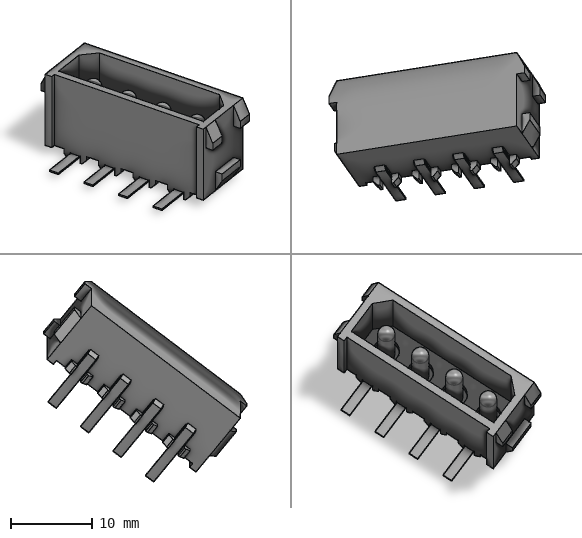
import cadquery as cq

WIDTH = 23.3
HEIGHT = 10.25
DEPTH = 8.2
END_WALL = 1.0
SIDE_WALL = 0.94
FLOOR = 2.0
KEY_CHAMFER = 1.8

RAIL_DEPTH = 0.6
RAIL_WIDTH = 1.0

LATCH_REACH = 1.0
LATCH_LIP = 1.0
UPPER_LATCH_HEIGHT = 3.0
LOWER_LATCH_HEIGHT = 2.75
UPPER_LATCH_LENGTH = 2.08
LOWER_LATCH_LENGTH = DEPTH - 2 * UPPER_LATCH_LENGTH

CONTACT_COUNT = 4
PITCH = 5.08
CONTACT_Y = DEPTH / 2
PIN_DIAMETER = 2.1
PIN_TOP = 8.45
BORE_DIAMETER = 3.2
BORE_DEPTH = 1.0
PIN_BASE = FLOOR - BORE_DEPTH

TAIL_WIDTH = 1.3
TAIL_THICKNESS = 0.23
TAIL_TOP = -0.29
TAIL_TIP_Y = -4.7
TAIL_BOTTOM = TAIL_TOP - TAIL_THICKNESS
OUTER_BEND_Y = 3.73
INNER_BEND_Y = OUTER_BEND_Y - TAIL_THICKNESS

PRONG_DROP = 1.27
PRONG_SHOULDER = 0.6
PRONG_TIP_WIDTH = 0.27
PRONG_LENGTH = 1.25
PRONG_GAP = 1.52
PRONG_SPAN = 3.32

contact_positions = [(i - (CONTACT_COUNT - 1) / 2) * PITCH for i in range(CONTACT_COUNT)]


def box(x_min, x_max, y_min, y_max, z_min, z_max):
    size = (x_max - x_min, y_max - y_min, z_max - z_min)
    return cq.Workplane("XY").box(*size, centered=False).translate((x_min, y_min, z_min))


def prism_along_y(points, y_min, y_max):
    """Extrude an outline of (x, z) points between two Y positions."""
    return cq.Workplane("XZ", origin=(0, y_min, 0)).polyline(points).close().extrude(y_min - y_max)


def prism_along_x(points, x, width):
    """Extrude an outline of (y, z) points to a width centred on x."""
    return cq.Workplane("YZ", origin=(x, 0, 0)).polyline(points).close().extrude(width / 2, both=True)


def make_housing():
    body = box(-WIDTH / 2, WIDTH / 2, 0, DEPTH, 0, HEIGHT)
    cavity_x = WIDTH / 2 - END_WALL
    cavity = box(-cavity_x, cavity_x, SIDE_WALL, DEPTH - SIDE_WALL, FLOOR, HEIGHT)
    cavity = cavity.edges("|Z and >Y").chamfer(KEY_CHAMFER)
    body = body.cut(cavity)
    left_rail = box(-WIDTH / 2, -WIDTH / 2 + RAIL_WIDTH, -RAIL_DEPTH, 0, 0, HEIGHT)
    return body.union(left_rail).union(left_rail.mirror("YZ"))


def make_left_latches():
    inner = -WIDTH / 2
    outer = inner - LATCH_REACH
    upper_bottom = HEIGHT - UPPER_LATCH_HEIGHT
    upper_outline = [
        (inner, HEIGHT),
        (outer, upper_bottom + LATCH_LIP),
        (outer, upper_bottom),
        (inner, upper_bottom),
    ]
    lower_outline = [
        (inner, 0),
        (outer, LOWER_LATCH_HEIGHT - LATCH_LIP),
        (outer, LOWER_LATCH_HEIGHT),
        (inner, LOWER_LATCH_HEIGHT),
    ]
    front_upper = prism_along_y(upper_outline, 0, UPPER_LATCH_LENGTH)
    rear_upper = prism_along_y(upper_outline, DEPTH - UPPER_LATCH_LENGTH, DEPTH)
    lower_start = (DEPTH - LOWER_LATCH_LENGTH) / 2
    lower = prism_along_y(lower_outline, lower_start, lower_start + LOWER_LATCH_LENGTH)
    return front_upper.union(rear_upper).union(lower)


def make_pin(x):
    radius = PIN_DIAMETER / 2
    tip_centre = PIN_TOP - radius
    shank = cq.Workplane("XY", origin=(x, CONTACT_Y, PIN_BASE)).circle(radius).extrude(tip_centre - PIN_BASE)
    tip = cq.Workplane("XY", origin=(x, CONTACT_Y, tip_centre)).sphere(radius)
    return shank.union(tip)


def make_bore(x):
    return (
        cq.Workplane("XY", origin=(x, CONTACT_Y, PIN_BASE))
        .circle(BORE_DIAMETER / 2)
        .extrude(BORE_DEPTH)
    )


def make_prong_pair(x):
    outer = PRONG_SPAN / 2
    inner = PRONG_GAP / 2
    outline = [
        (-outer, 0),
        (-outer, -PRONG_SHOULDER),
        (-inner - PRONG_TIP_WIDTH, -PRONG_DROP),
        (-inner, -PRONG_DROP),
        (-inner, 0),
    ]
    left = prism_along_y(outline, 0, PRONG_LENGTH)
    return left.union(left.mirror("YZ")).translate((x, 0, 0))


def make_tail(x):
    outline = [
        (OUTER_BEND_Y, 0),
        (OUTER_BEND_Y + TAIL_BOTTOM, TAIL_BOTTOM),
        (TAIL_TIP_Y, TAIL_BOTTOM),
        (TAIL_TIP_Y, TAIL_TOP),
        (INNER_BEND_Y + TAIL_TOP, TAIL_TOP),
        (INNER_BEND_Y, 0),
    ]
    return prism_along_x(outline, x, TAIL_WIDTH)


def make_pad(x):
    """Block under the housing that the tail lies against, filling the gap between its prongs."""
    outline = [(0, 0), (INNER_BEND_Y, 0), (INNER_BEND_Y + TAIL_TOP, TAIL_TOP), (0, TAIL_TOP)]
    return prism_along_x(outline, x, PRONG_GAP)


left_latches = make_left_latches()
result = make_housing().union(left_latches).union(left_latches.mirror("YZ"))
for contact_x in contact_positions:
    result = result.cut(make_bore(contact_x)).union(make_pin(contact_x))
    result = result.union(make_prong_pair(contact_x)).union(make_pad(contact_x))
    result = result.union(make_tail(contact_x))